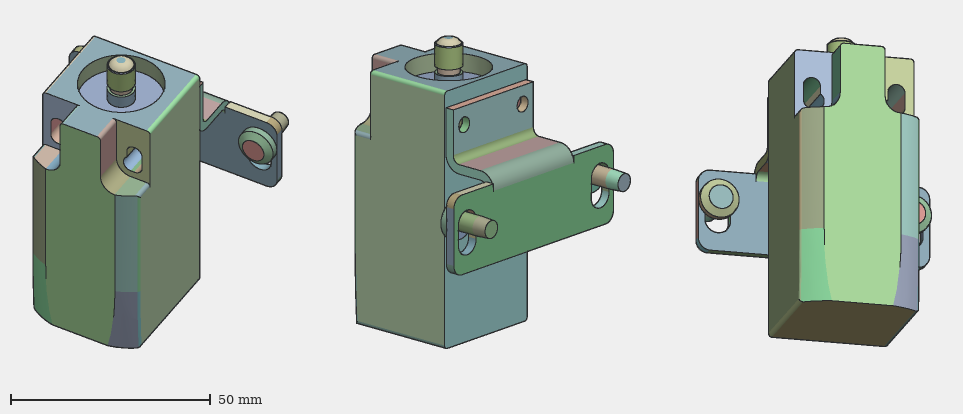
import cadquery as cq
import math


HOUSING_WIDTH = 31.0
HOUSING_HEIGHT = 68.0
BACK_Y = 12.5
FRONT_Y = -20.6
EDGE_ROUND = 1.0
OVERCUT = 3.8

BEVEL_FRONT_X = 10.0
BEVEL_SIDE_Y = -17.7
BEVEL_BULGE = 0.265
TAPER_START_Z = 18.9
TAPER_SETBACK = 0.5

TONGUE_HALF_WIDTH = 5.8
RECESS_FLOOR_Y = -12.5
SHELF_Z = 50.9
RECESS_CORNER_RADIUS = 4.1

FIXING_X = 11.0
FIXING_Z = 58.75
FIXING_RADIUS = 2.2
FIXING_DROP = 3.8
FIXING_OFFSET = 1.0

POCKET_RADIUS = 11.0
POCKET_DEPTH = 4.8
POCKET_FLOOR_Z = HOUSING_HEIGHT - POCKET_DEPTH

PLUNGER_TOP_Z = 75.7
PLUNGER_RADIUS = 3.55
PLUNGER_SEAT_DEPTH = 3.8
COLLAR_TOP_Z = 66.6
NECK_RADIUS = 2.9
NECK_TOP_Z = 68.35
SHOULDER_Z = 74.2
SHOULDER_CHAMFER = 0.2
DOME_RIM_RADIUS = 3.2
DOME_FLAT_RADIUS = 1.1
DOME_MID_RADIUS = 2.35
DOME_MID_Z = 75.3

SHEET = 2.5
BEND_INNER_RADIUS = 2.0
BEND_OUTER_RADIUS = BEND_INNER_RADIUS + SHEET
TAB_WIDTH = 30.1
TAB_TOP_Z = 63.7
PLATE_WIDTH = 60.0
PLATE_FRONT_Y = 26.05
PLATE_BACK_Y = PLATE_FRONT_Y + SHEET
PLATE_BOTTOM_Z = 26.1
PLATE_TOP_Z = 47.15
PLATE_CORNER_RADIUS = 3.0
MOUNTING_HOLE_RADIUS = 2.05
SLOT_RADIUS = 3.3
SLOT_BOTTOM_Z = 30.9

SCREW_X = 25.0
SCREW_Z = 39.4
HEAD_RADIUS = 5.0
HEAD_FACE_RADIUS = 3.1
HEAD_RIM_HEIGHT = 1.9
HEAD_HEIGHT = 3.2
SHANK_RADIUS = 2.6
SHANK_TIP_RADIUS = 2.35
TAPER_FROM_Y = 32.7
SHANK_TIP_Y = 36.65

HALF_WIDTH = HOUSING_WIDTH / 2
SIDES = (-1, 1)


def bevel_cutter(side):
    """Waste outside one curved front bevel, swept down the edge and back along the lower taper."""
    run = HALF_WIDTH - BEVEL_FRONT_X
    rise = BEVEL_SIDE_Y - FRONT_Y
    chord = math.hypot(run, rise)
    radius = (chord**2 / 4 + BEVEL_BULGE**2) / (2 * BEVEL_BULGE)
    inset = radius - BEVEL_BULGE
    center_x = (BEVEL_FRONT_X + HALF_WIDTH) / 2 - inset * rise / chord
    center_y = (FRONT_Y + BEVEL_SIDE_Y) / 2 + inset * run / chord
    outer_x = HALF_WIDTH + OVERCUT
    top_z = HOUSING_HEIGHT + OVERCUT
    profile = (
        cq.Workplane("XY", origin=(0, 0, top_z))
        .moveTo(side * center_x, center_y - radius)
        .threePointArc((side * BEVEL_FRONT_X, FRONT_Y), (side * HALF_WIDTH, BEVEL_SIDE_Y))
        .lineTo(side * outer_x, BEVEL_SIDE_Y)
        .lineTo(side * outer_x, FRONT_Y - OVERCUT)
        .lineTo(side * center_x, FRONT_Y - OVERCUT)
        .close()
    )
    taper_radius = (TAPER_START_Z**2 + TAPER_SETBACK**2) / (2 * TAPER_SETBACK)

    def taper_point(z):
        drop = TAPER_START_Z - z
        return (FRONT_Y + taper_radius - math.sqrt(taper_radius**2 - drop**2), z)

    path = (
        cq.Workplane("YZ")
        .moveTo(FRONT_Y, top_z)
        .lineTo(FRONT_Y, TAPER_START_Z)
        .threePointArc(taper_point(TAPER_START_Z / 2), taper_point(-OVERCUT))
    )
    return profile.sweep(path)


def recess_cutter(side):
    """Waste of one upper front corner, rounded where the tongue meets the shelf."""
    outer_x = HALF_WIDTH + OVERCUT
    top_z = HOUSING_HEIGHT + OVERCUT
    depth = RECESS_FLOOR_Y - FRONT_Y + OVERCUT
    diagonal = RECESS_CORNER_RADIUS * (1 - math.sqrt(0.5))
    return (
        cq.Workplane("XZ", origin=(0, RECESS_FLOOR_Y, 0))
        .moveTo(side * TONGUE_HALF_WIDTH, top_z)
        .lineTo(side * TONGUE_HALF_WIDTH, SHELF_Z + RECESS_CORNER_RADIUS)
        .threePointArc(
            (side * (TONGUE_HALF_WIDTH + diagonal), SHELF_Z + diagonal),
            (side * (TONGUE_HALF_WIDTH + RECESS_CORNER_RADIUS), SHELF_Z),
        )
        .lineTo(side * outer_x, SHELF_Z)
        .lineTo(side * outer_x, top_z)
        .close()
        .extrude(depth)
    )


def fixing_slot_cutter(side):
    """An upright slot through the housing whose lower end steps sideways towards the tongue."""
    width = 2 * FIXING_RADIUS
    depth = BACK_Y - RECESS_FLOOR_Y
    back = cq.Workplane("XZ", origin=(0, BACK_Y, 0))
    upright = (
        back.center(side * FIXING_X, FIXING_Z - FIXING_DROP / 2)
        .slot2D(FIXING_DROP + width, width, 90)
        .extrude(depth)
    )
    foot = (
        back.center(side * (FIXING_X - FIXING_OFFSET / 2), FIXING_Z - FIXING_DROP)
        .slot2D(FIXING_OFFSET + width, width)
        .extrude(depth)
    )
    return upright.union(foot)


def box_between(x, y_range, z_range):
    """Selector of the edges whose centres lie in a thin upright box at x."""
    half_thickness = 0.1
    return cq.selectors.BoxSelector(
        (x - half_thickness, y_range[0], z_range[0]),
        (x + half_thickness, y_range[1], z_range[1]),
    )


def make_housing():
    block = cq.Workplane("XY").box(
        HOUSING_WIDTH, BACK_Y - FRONT_Y, HOUSING_HEIGHT, centered=(True, False, False)
    ).translate((0, FRONT_Y, 0))
    for side in SIDES:
        block = block.cut(bevel_cutter(side)).cut(recess_cutter(side))

    reach = 0.1
    for side in SIDES:
        side_edges = box_between(side * HALF_WIDTH, (FRONT_Y, BACK_Y - reach), (-reach, HOUSING_HEIGHT + reach))
        floor_edge = box_between(
            side * HALF_WIDTH, (RECESS_FLOOR_Y - reach, RECESS_FLOOR_Y + reach), (SHELF_Z, HOUSING_HEIGHT - reach)
        )
        block = block.edges(side_edges - floor_edge).fillet(EDGE_ROUND)
        tongue_edge = box_between(
            side * TONGUE_HALF_WIDTH, (FRONT_Y, RECESS_FLOOR_Y), (HOUSING_HEIGHT - reach, HOUSING_HEIGHT + reach)
        )
        block = block.edges(tongue_edge).fillet(EDGE_ROUND)

    for side in SIDES:
        block = block.cut(fixing_slot_cutter(side))
    pocket = cq.Workplane("XY", origin=(0, 0, POCKET_FLOOR_Z)).circle(POCKET_RADIUS).extrude(POCKET_DEPTH)
    seat = cq.Workplane("XY", origin=(0, 0, POCKET_FLOOR_Z)).circle(PLUNGER_RADIUS).extrude(-PLUNGER_SEAT_DEPTH)
    return block.cut(pocket).cut(seat)


def make_plunger():
    """A grooved round pin with a domed tip, standing in its seat in the pocket floor."""
    return (
        cq.Workplane("XZ")
        .moveTo(0, POCKET_FLOOR_Z - PLUNGER_SEAT_DEPTH)
        .lineTo(PLUNGER_RADIUS, POCKET_FLOOR_Z - PLUNGER_SEAT_DEPTH)
        .lineTo(PLUNGER_RADIUS, COLLAR_TOP_Z)
        .lineTo(NECK_RADIUS, COLLAR_TOP_Z)
        .lineTo(NECK_RADIUS, NECK_TOP_Z)
        .lineTo(PLUNGER_RADIUS, NECK_TOP_Z)
        .lineTo(PLUNGER_RADIUS, SHOULDER_Z)
        .lineTo(PLUNGER_RADIUS - SHOULDER_CHAMFER, SHOULDER_Z + SHOULDER_CHAMFER)
        .lineTo(DOME_RIM_RADIUS, SHOULDER_Z + SHOULDER_CHAMFER)
        .threePointArc((DOME_MID_RADIUS, DOME_MID_Z), (DOME_FLAT_RADIUS, PLUNGER_TOP_Z))
        .lineTo(0, PLUNGER_TOP_Z)
        .close()
        .revolve(360, (0, 0, 0), (0, 1, 0))
    )


def bracket_tab():
    """The strip that runs down the housing's back, steps away from it and turns down into the plate.

    Its upper part has a round hole behind each fixing slot.
    """
    tab_back_y = BACK_Y + SHEET
    tab = (
        cq.Workplane("YZ")
        .moveTo(BACK_Y, TAB_TOP_Z)
        .lineTo(BACK_Y, PLATE_TOP_Z + BEND_OUTER_RADIUS)
        .radiusArc((BACK_Y + BEND_OUTER_RADIUS, PLATE_TOP_Z), -BEND_OUTER_RADIUS)
        .lineTo(PLATE_FRONT_Y - BEND_INNER_RADIUS, PLATE_TOP_Z)
        .radiusArc((PLATE_FRONT_Y, PLATE_TOP_Z - BEND_INNER_RADIUS), BEND_INNER_RADIUS)
        .lineTo(PLATE_BACK_Y, PLATE_TOP_Z - BEND_INNER_RADIUS)
        .radiusArc((PLATE_BACK_Y - BEND_OUTER_RADIUS, PLATE_TOP_Z + SHEET), -BEND_OUTER_RADIUS)
        .lineTo(tab_back_y + BEND_INNER_RADIUS, PLATE_TOP_Z + SHEET)
        .radiusArc((tab_back_y, PLATE_TOP_Z + SHEET + BEND_INNER_RADIUS), BEND_INNER_RADIUS)
        .lineTo(tab_back_y, TAB_TOP_Z)
        .close()
        .extrude(TAB_WIDTH / 2, both=True)
    )
    holes = (
        cq.Workplane("XZ", origin=(0, tab_back_y, FIXING_Z))
        .pushPoints([(side * FIXING_X, 0) for side in SIDES])
        .circle(MOUNTING_HOLE_RADIUS)
        .extrude(SHEET)
    )
    return tab.cut(holes)


def bracket_plate():
    """The wide upright plate with a slot under each screw head."""
    plate = (
        cq.Workplane("XZ", origin=(0, PLATE_BACK_Y, (PLATE_TOP_Z + PLATE_BOTTOM_Z) / 2))
        .rect(PLATE_WIDTH, PLATE_TOP_Z - PLATE_BOTTOM_Z)
        .extrude(SHEET)
        .edges("|Y")
        .fillet(PLATE_CORNER_RADIUS)
    )
    slot_length = SCREW_Z + SLOT_RADIUS - SLOT_BOTTOM_Z
    slots = (
        cq.Workplane("XZ", origin=(0, PLATE_BACK_Y, SLOT_BOTTOM_Z + slot_length / 2))
        .pushPoints([(side * SCREW_X, 0) for side in SIDES])
        .slot2D(slot_length, 2 * SLOT_RADIUS, 90)
        .extrude(SHEET)
    )
    bend_gap = (
        cq.Workplane("XZ", origin=(0, PLATE_BACK_Y, PLATE_TOP_Z - BEND_INNER_RADIUS / 2))
        .rect(TAB_WIDTH, BEND_INNER_RADIUS)
        .extrude(SHEET)
    )
    return plate.cut(slots).cut(bend_gap)


def bracket_screw(side):
    """A round bevelled head on the plate and a shank through the slot with a tapered tip."""
    return (
        cq.Workplane("XY")
        .moveTo(0, PLATE_FRONT_Y - HEAD_HEIGHT)
        .lineTo(HEAD_FACE_RADIUS, PLATE_FRONT_Y - HEAD_HEIGHT)
        .lineTo(HEAD_RADIUS, PLATE_FRONT_Y - HEAD_RIM_HEIGHT)
        .lineTo(HEAD_RADIUS, PLATE_FRONT_Y)
        .lineTo(SHANK_RADIUS, PLATE_FRONT_Y)
        .lineTo(SHANK_RADIUS, TAPER_FROM_Y)
        .lineTo(SHANK_TIP_RADIUS, SHANK_TIP_Y)
        .lineTo(0, SHANK_TIP_Y)
        .close()
        .revolve(360, (0, 0, 0), (0, 1, 0))
        .translate((side * SCREW_X, 0, SCREW_Z))
    )


def make_bracket():
    """The bent sheet and its two captive screws, which form one piece."""
    bracket = bracket_tab().union(bracket_plate())
    for side in SIDES:
        bracket = bracket.union(bracket_screw(side))
    return bracket


housing = make_housing().solids()
plunger = make_plunger()
bracket = make_bracket().solids()

result = cq.Compound.makeCompound([housing.val(), plunger.val(), bracket.val()])